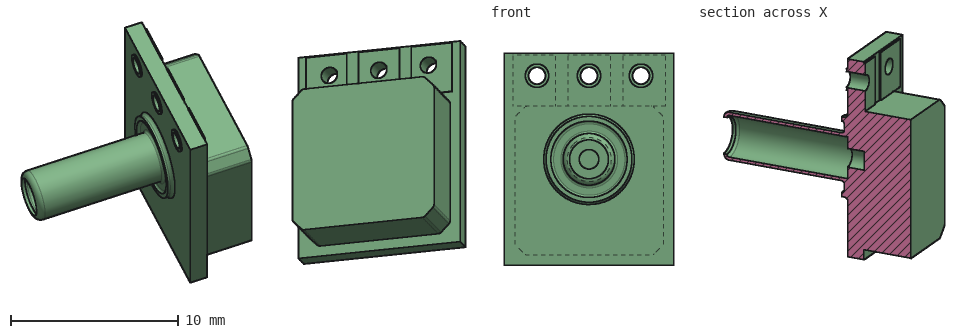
import cadquery as cq
import math

board_width = 10.16
board_height = 12.7
board_thickness = 1.1

housing_size = 8.9
housing_depth = 3.16
housing_center_z = -1.26
housing_chamfer = 0.635
housing_corner_radius = 0.25

terminal_pitch = 3.11
terminal_z = 5.0
terminal_hole_diameter = 1.0
eyelet_diameter = 1.4
pad_pitch = 3.3
pad_width = 2.55
pad_top_z = 6.27
metal_thickness = 0.09

collar_height = 0.40
collar_rim_height = 0.14
collar_radius = 2.57
collar_base_radius = 2.71
recess_radius = 2.285
recess_depth = 0.15

shaft_length = 8.33
shaft_radius = 1.55
shaft_wall = 0.23
lip_radius = 0.385
socket_radius = 0.585
socket_depth = board_thickness

housing_top_z = housing_center_z + housing_size / 2
cos_45 = math.sqrt(0.5)


def plate(width, depth, height, front_y, center_x, center_z):
    """Block centred in X and Z that runs from front_y toward +Y."""
    block = cq.Workplane("XY").box(width, depth, height, centered=(True, False, True))
    return block.translate((center_x, front_y, center_z))


def cylinder(radius, depth, front_y, center_x=0, center_z=0):
    """Cylinder along Y that runs from front_y toward +Y."""
    axis_point = cq.Vector(center_x, front_y, center_z)
    return cq.Workplane(cq.Solid.makeCylinder(radius, depth, axis_point, cq.Vector(0, 1, 0)))


def revolve_about_y(profile):
    """Full turn of an XY half profile about the Y axis."""
    return profile.close().revolve(360, (0, 0, 0), (0, 1, 0))


def make_housing():
    block = plate(housing_size, housing_depth, housing_size, board_thickness, 0, housing_center_z)
    block = block.edges("|Y").chamfer(housing_chamfer)
    return block.edges("|Y").fillet(housing_corner_radius)


def make_solder_pads():
    pad_height = pad_top_z - housing_top_z
    pads = cq.Workplane("XY")
    for side in (-1, 0, 1):
        pad = plate(
            pad_width, metal_thickness, pad_height,
            board_thickness, side * pad_pitch, pad_top_z - pad_height / 2,
        )
        pads = pads.add(pad)
    return pads.combine()


def add_terminals(body):
    hole_length = board_thickness + 2 * metal_thickness
    for side in (-1, 0, 1):
        x = side * terminal_pitch
        eyelet = cylinder(eyelet_diameter / 2, metal_thickness, -metal_thickness, x, terminal_z)
        hole = cylinder(terminal_hole_diameter / 2, hole_length, -metal_thickness, x, terminal_z)
        body = body.union(eyelet).cut(hole)
    return body


def make_collar():
    """Collar with a concave flank, a rim and a recess whose floor fillets up to rim and shaft."""
    flank_top = collar_height - collar_rim_height
    flare = collar_base_radius - collar_radius
    flank_radius = (flare**2 + flank_top**2) / (2 * flare)
    half_sweep = math.asin(flank_top / flank_radius) / 2
    flank_mid = (
        collar_radius + flank_radius * (1 - math.cos(half_sweep)),
        -flank_top + flank_radius * math.sin(half_sweep),
    )
    floor = collar_height - recess_depth
    fillet_inset = recess_depth * (1 - cos_45)
    recess_mid = (recess_radius - fillet_inset, -floor - fillet_inset)
    foot_mid = (shaft_radius + fillet_inset, -floor - fillet_inset)
    profile = (
        cq.Workplane("XY")
        .lineTo(collar_base_radius, 0)
        .threePointArc(flank_mid, (collar_radius, -flank_top))
        .lineTo(collar_radius, -collar_height)
        .lineTo(recess_radius, -collar_height)
        .threePointArc(recess_mid, (recess_radius - recess_depth, -floor))
        .lineTo(shaft_radius + recess_depth, -floor)
        .threePointArc(foot_mid, (shaft_radius, -collar_height))
        .lineTo(0, -collar_height)
    )
    return revolve_about_y(profile)


def make_shaft():
    lip_start = -shaft_length + lip_radius
    lip_mid = (
        shaft_radius - lip_radius * (1 - cos_45),
        lip_start - lip_radius * cos_45,
    )
    profile = (
        cq.Workplane("XY")
        .lineTo(shaft_radius, 0)
        .lineTo(shaft_radius, lip_start)
        .threePointArc(lip_mid, (shaft_radius - lip_radius, -shaft_length))
        .lineTo(0, -shaft_length)
    )
    return revolve_about_y(profile)


def make_bore():
    """Bore down to the board; the lip narrows its mouth with the wall thickness kept constant."""
    inner_radius = shaft_radius - shaft_wall
    mouth_radius = shaft_radius - lip_radius
    lip_start = -shaft_length + lip_radius
    inner_lip_radius = lip_radius - shaft_wall
    lip_mid = (
        mouth_radius + inner_lip_radius * cos_45,
        lip_start - inner_lip_radius * cos_45,
    )
    profile = (
        cq.Workplane("XY")
        .lineTo(inner_radius, 0)
        .lineTo(inner_radius, lip_start)
        .threePointArc(lip_mid, (mouth_radius, lip_start - inner_lip_radius))
        .lineTo(mouth_radius, -shaft_length)
        .lineTo(0, -shaft_length)
    )
    return revolve_about_y(profile)


board = plate(board_width, board_thickness, board_height, 0, 0, 0)
body = board.union(make_housing()).union(make_solder_pads())
body = add_terminals(body)
body = body.union(make_collar()).union(make_shaft())
body = body.cut(make_bore())
result = body.cut(cylinder(socket_radius, socket_depth, 0))